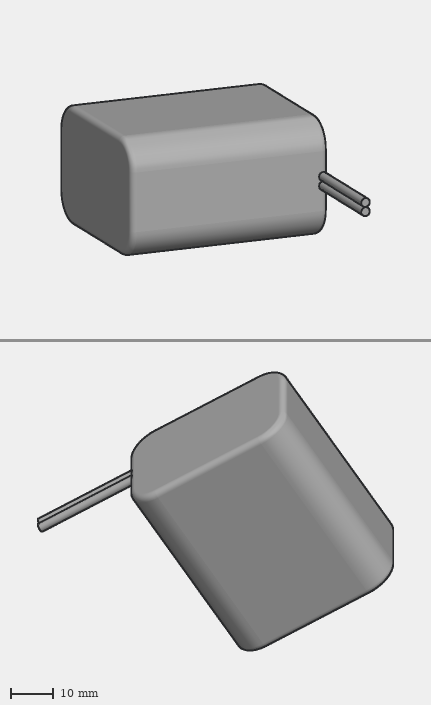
import cadquery as cq

total_length = 68.6
body_length = 43.2
body_depth = 50.8
body_height = 29.2

corner_radius = 7.3
rim_radius = 1.5

wire_diameter = 2.2
wire_spacing = 2.25
wire_back_gap = 0.15
wire_embed = 3.4


def make_body():
    """Block with rounded long edges and rolled front and back rims."""
    block = cq.Workplane("XY").box(body_length, body_depth, body_height)
    return block.edges("|Y").fillet(corner_radius).faces("<Y or >Y").edges().fillet(rim_radius)


def make_wire(height):
    """Round wire along X at the given height, with its root inside the body."""
    start_x = body_length / 2 - wire_embed
    wire_length = total_length - body_length + wire_embed
    center_y = body_depth / 2 - wire_back_gap - wire_diameter / 2
    return (
        cq.Workplane("YZ", origin=(start_x, center_y, height))
        .circle(wire_diameter / 2)
        .extrude(wire_length)
    )


result = make_body()
for side in (-1, 1):
    result = result.union(make_wire(side * wire_spacing / 2))